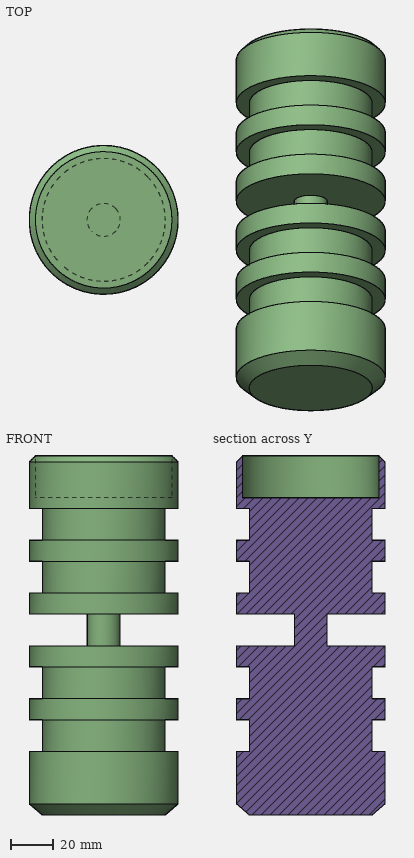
import cadquery as cq

total_height = 170.5
outer_diameter = 70.8
groove_diameter = 58.3
pin_diameter = 15.7

top_head_height = 25.0
ring_height = 10.0
gap_height = 15.0
gap_count = 5
pin_gap_index = 2

cup_diameter = 64.8
cup_depth = 20.0
top_chamfer = (outer_diameter - cup_diameter) / 2
bottom_chamfer_height = 5.3
bottom_chamfer_width = 6.1


def disc(diameter, bottom, height):
    """Solid cylinder on the Z axis."""
    return cq.Workplane("XY").workplane(offset=bottom).circle(diameter / 2).extrude(height)


def bottom_head(height):
    """Lower end block with a bevelled foot, revolved about the Z axis."""
    radius = outer_diameter / 2
    profile = (
        cq.Workplane("XZ")
        .lineTo(radius - bottom_chamfer_width, 0)
        .lineTo(radius, bottom_chamfer_height)
        .lineTo(radius, height)
        .lineTo(0, height)
        .close()
    )
    return profile.revolve(360, (0, 0, 0), (0, 1, 0))


def top_head():
    """Upper end block, bevelled outside up to the cup's rim."""
    radius = outer_diameter / 2
    bottom = total_height - top_head_height
    profile = (
        cq.Workplane("XZ")
        .moveTo(0, bottom)
        .lineTo(radius, bottom)
        .lineTo(radius, total_height - top_chamfer)
        .lineTo(cup_diameter / 2, total_height)
        .lineTo(cup_diameter / 2, total_height - cup_depth)
        .lineTo(0, total_height - cup_depth)
        .close()
    )
    return profile.revolve(360, (0, 0, 0), (0, 1, 0))


body = top_head()
level = total_height - top_head_height
for index in range(gap_count):
    core_diameter = pin_diameter if index == pin_gap_index else groove_diameter
    level -= gap_height
    body = body.union(disc(core_diameter, level, gap_height))
    if index < gap_count - 1:
        level -= ring_height
        body = body.union(disc(outer_diameter, level, ring_height))

result = body.union(bottom_head(level))